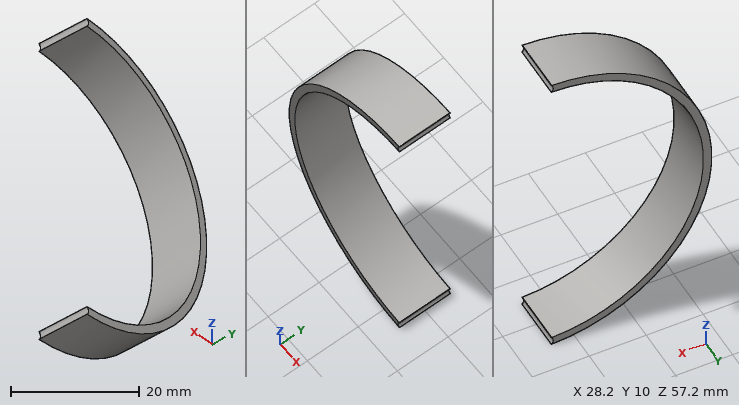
import cadquery as cq
import math

outer_radius = 28.6
wall = 1.5
width = 10.0
end_setback = 0.4
groove_depth = 0.35

inner_radius = outer_radius - wall
middle_radius = outer_radius - wall / 2


def height_at_tip(radius):
    """Height of a circle of this radius where the end tips cut it."""
    return math.sqrt(radius**2 - end_setback**2)


outer_tip = height_at_tip(outer_radius)
inner_tip = height_at_tip(inner_radius)
groove_bottom = -end_setback - groove_depth

profile = (
    cq.Workplane("XZ")
    .moveTo(-end_setback, outer_tip)
    .threePointArc((-outer_radius, 0), (-end_setback, -outer_tip))
    .threePointArc((groove_bottom, -middle_radius), (-end_setback, -inner_tip))
    .threePointArc((-inner_radius, 0), (-end_setback, inner_tip))
    .threePointArc((groove_bottom, middle_radius), (-end_setback, outer_tip))
    .close()
)

result = profile.extrude(width / 2, both=True)